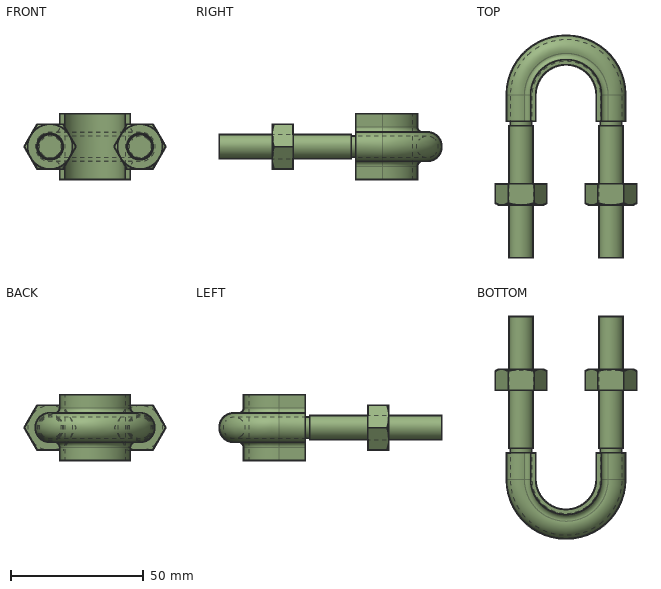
import cadquery as cq
import math

leg_spacing = 34.0
bend_radius = leg_spacing / 2
leg_positions = (-bend_radius, bend_radius)
thread_diameter = 9.2
thread_length = 50.0
shank_diameter = 8.2
exposed_shank_length = 1.63

sleeve_leg_length = 10.0
sleeve_height = 25.0
tube_wall = 1.5
tube_radius = shank_diameter / 2 + tube_wall
plate_thickness = 2.0
plate_inner_radius = bend_radius - tube_radius
plate_outer_radius = plate_inner_radius + plate_thickness
plate_fillet = 2.0

nut_corner_width = 19.6
nut_flat_width = nut_corner_width * math.cos(math.radians(30))
nut_thickness = 8.0
nut_face_to_bolt_end = 20.0
nut_chamfer_angle = math.radians(30)
countersink_diameter = 10.0
countersink_depth = (countersink_diameter - thread_diameter) / 2

sleeve_end = -sleeve_leg_length
thread_start = sleeve_end - exposed_shank_length
bolt_end = thread_start - thread_length
nut_face = bolt_end + nut_face_to_bolt_end


def u_path(leg_end):
    """Centre line of the U: up one leg from leg_end, around the bend and down the other leg."""
    return (
        cq.Workplane("XY")
        .moveTo(bend_radius, leg_end)
        .lineTo(bend_radius, 0)
        .threePointArc((0, bend_radius), (-bend_radius, 0))
        .lineTo(-bend_radius, leg_end)
    )


def u_rod(leg_end):
    """Shank-sized round rod along the U."""
    section = cq.Workplane("XZ", origin=(bend_radius, leg_end, 0)).circle(shank_diameter / 2)
    return section.sweep(u_path(leg_end))


def make_bolt():
    bolt = u_rod(thread_start)
    for x in leg_positions:
        thread = (
            cq.Workplane("XZ", origin=(x, thread_start, 0))
            .circle(thread_diameter / 2)
            .extrude(thread_length)
        )
        bolt = bolt.union(thread)
    return bolt


def sleeve_section():
    """Sleeve wall across the +X leg: plate and tube joined by two concave fillets."""
    half_height = sleeve_height / 2

    centre_distance = tube_radius + plate_fillet
    fillet_x = plate_outer_radius + plate_fillet
    tube_angle = math.acos((fillet_x - bend_radius) / centre_distance)
    fillet_z = centre_distance * math.sin(tube_angle)
    tube_x = bend_radius + tube_radius * math.cos(tube_angle)
    tube_z = tube_radius * math.sin(tube_angle)

    middle_angle = math.pi + tube_angle / 2
    middle_x = fillet_x + plate_fillet * math.cos(middle_angle)
    middle_z = fillet_z + plate_fillet * math.sin(middle_angle)

    return (
        cq.Workplane("XZ", origin=(0, sleeve_end, 0))
        .moveTo(plate_inner_radius, -half_height)
        .lineTo(plate_outer_radius, -half_height)
        .lineTo(plate_outer_radius, -fillet_z)
        .threePointArc((middle_x, -middle_z), (tube_x, -tube_z))
        .threePointArc((bend_radius + tube_radius, 0), (tube_x, tube_z))
        .threePointArc((middle_x, middle_z), (plate_outer_radius, fillet_z))
        .lineTo(plate_outer_radius, half_height)
        .lineTo(plate_inner_radius, half_height)
        .close()
    )


def make_sleeve():
    wall = sleeve_section().sweep(u_path(sleeve_end))
    return wall.cut(u_rod(sleeve_end))


def make_nut(x):
    """Hexagon nut with its chamfered and countersunk face toward -Y and two corners along X."""
    blank = (
        cq.Workplane("XZ", origin=(x, nut_face, 0))
        .polygon(6, nut_corner_width)
        .extrude(-nut_thickness)
    )

    face_radius = nut_flat_width / 2
    cone_radius = face_radius + nut_thickness / math.tan(nut_chamfer_angle)
    corner_cone = cq.Workplane(
        cq.Solid.makeCone(
            face_radius, cone_radius, nut_thickness, cq.Vector(x, nut_face, 0), cq.Vector(0, 1, 0)
        )
    )

    bore = (
        cq.Workplane("XZ", origin=(x, nut_face, 0))
        .circle(thread_diameter / 2)
        .extrude(-nut_thickness)
    )
    countersink = cq.Workplane(
        cq.Solid.makeCone(
            countersink_diameter / 2,
            thread_diameter / 2,
            countersink_depth,
            cq.Vector(x, nut_face, 0),
            cq.Vector(0, 1, 0),
        )
    )
    return blank.intersect(corner_cone).cut(bore).cut(countersink)


bolt = make_bolt()
sleeve = make_sleeve()
nuts = [make_nut(x) for x in leg_positions]

result = cq.Compound.makeCompound([bolt.val(), sleeve.val(), *[nut.val() for nut in nuts]])